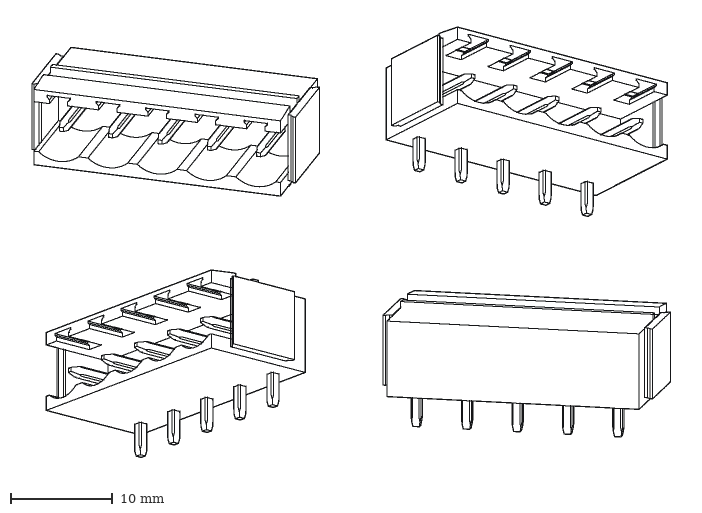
import cadquery as cq

OVERALL_LENGTH = 27.15
PIN_COUNT = 5
PIN_PITCH = 5.08
HOUSING_LENGTH = PIN_COUNT * PIN_PITCH
HOUSING_DEPTH = 12.0

FLOOR_TOP = 1.47
CEILING = 6.75
BODY_TOP = 7.6
POCKET_DEPTH = 7.88

BAR_DEPTH = 3.12
BAR_TOP = 8.37
BAR_CREST_DEPTH = 0.35
BAR_FRONT_TOP = 8.07

RIB_FRONT = 5.3
RIB_WIDTH = 0.7
RIB_TOP = 8.25
RIB_FOOT_RADIUS = 0.14

TROUGH_WIDTH = 4.1
TROUGH_DEPTH = 0.75

SLOT_DEPTH = 4.18
SLOT_TOP_WIDTH = 2.4
SLOT_NECK_WIDTH = 1.87
SLOT_LIP_HEIGHT = 0.15

PLATE_BOTTOM = 0.65
PLATE_TOP = 7.69
PLATE_FRONT = 2.12
PLATE_BACK = 9.89
PLATE_FLARE = 0.35
PLATE_EDGE = 0.25
PLATE_THICKNESS = (OVERALL_LENGTH - HOUSING_LENGTH) / 2

PIN_SIZE = 1.0
PIN_CHAMFER = 0.15
PIN_AXIS_Y = 9.97
PIN_AXIS_Z = 3.75
TAIL_END = -3.25
TAIL_TAPER = 0.95
TAIL_TIP_SIZE = 0.65
CONTACT_END = 0.9
CONTACT_TAPER = 1.28
CONTACT_TIP_SIZE = 0.4

pin_positions = [(i - (PIN_COUNT - 1) / 2) * PIN_PITCH for i in range(PIN_COUNT)]


def make_shell():
    """C-shaped cross-section with the top bar and rib, extruded over the housing length."""
    rib_back = RIB_FRONT + RIB_WIDTH
    body = (
        cq.Workplane("YZ", origin=(-HOUSING_LENGTH / 2, 0, 0))
        .moveTo(0, 0)
        .lineTo(HOUSING_DEPTH, 0)
        .lineTo(HOUSING_DEPTH, BODY_TOP)
        .lineTo(rib_back + RIB_FOOT_RADIUS, BODY_TOP)
        .radiusArc((rib_back, BODY_TOP + RIB_FOOT_RADIUS), RIB_FOOT_RADIUS)
        .lineTo(rib_back, RIB_TOP)
        .lineTo(RIB_FRONT, RIB_TOP)
        .lineTo(RIB_FRONT, BODY_TOP + RIB_FOOT_RADIUS)
        .radiusArc((RIB_FRONT - RIB_FOOT_RADIUS, BODY_TOP), RIB_FOOT_RADIUS)
        .lineTo(BAR_DEPTH, BODY_TOP)
        .lineTo(BAR_DEPTH, BAR_TOP)
        .lineTo(BAR_DEPTH - BAR_CREST_DEPTH, BAR_TOP)
        .lineTo(0, BAR_FRONT_TOP)
        .lineTo(0, CEILING)
        .lineTo(POCKET_DEPTH, CEILING)
        .lineTo(POCKET_DEPTH, FLOOR_TOP)
        .lineTo(0, FLOOR_TOP)
        .close()
    )
    return body.extrude(HOUSING_LENGTH)


def make_end_plate():
    """Plate on the -X end, with its front and back edges flared outward."""
    inner_x = -HOUSING_LENGTH / 2
    outer_x = inner_x - PLATE_THICKNESS
    edge_x = outer_x + PLATE_EDGE
    neck_x = edge_x + PLATE_FLARE
    return (
        cq.Workplane("XY", origin=(0, 0, PLATE_BOTTOM))
        .moveTo(inner_x, PLATE_FRONT + PLATE_FLARE)
        .lineTo(neck_x, PLATE_FRONT + PLATE_FLARE)
        .lineTo(edge_x, PLATE_FRONT)
        .lineTo(outer_x, PLATE_FRONT)
        .lineTo(outer_x, PLATE_BACK)
        .lineTo(edge_x, PLATE_BACK)
        .lineTo(neck_x, PLATE_BACK - PLATE_FLARE)
        .lineTo(inner_x, PLATE_BACK - PLATE_FLARE)
        .close()
        .extrude(PLATE_TOP - PLATE_BOTTOM)
    )


def make_trough(x):
    """Round-bottomed trough running from the mating face to the back of the pocket."""
    return (
        cq.Workplane("XZ")
        .moveTo(x - TROUGH_WIDTH / 2, FLOOR_TOP)
        .threePointArc((x, FLOOR_TOP - TROUGH_DEPTH), (x + TROUGH_WIDTH / 2, FLOOR_TOP))
        .close()
        .extrude(-POCKET_DEPTH)
    )


def make_slot(x):
    """Dovetail slot through the top wall, passing under the bar."""
    top = SLOT_TOP_WIDTH / 2
    neck = SLOT_NECK_WIDTH / 2
    lip_z = BODY_TOP - SLOT_LIP_HEIGHT
    neck_z = lip_z - (top - neck)
    right_side = [(neck, CEILING), (neck, neck_z), (top, lip_z), (top, BODY_TOP)]
    left_side = [(-dx, z) for dx, z in reversed(right_side)]
    outline = [(x + dx, z) for dx, z in right_side + left_side]
    return cq.Workplane("XZ").polyline(outline).close().extrude(-SLOT_DEPTH)


def make_leg(length, taper_length, tip_size):
    """Square bar along +Z with chamfered corners and a pyramid-shaped tip."""
    chamfered = (
        cq.Workplane("XY").rect(PIN_SIZE, PIN_SIZE).extrude(length).edges("|Z").chamfer(PIN_CHAMFER)
    )
    shank = cq.Workplane("XY").rect(PIN_SIZE, PIN_SIZE).extrude(length - taper_length)
    tip = (
        cq.Workplane("XY", origin=(0, 0, length - taper_length))
        .rect(PIN_SIZE, PIN_SIZE)
        .workplane(offset=taper_length)
        .rect(tip_size, tip_size)
        .loft(combine=True)
    )
    return chamfered.intersect(shank.union(tip))


def make_pin(x):
    """L-shaped pin: a contact leg toward -Y and a solder tail toward -Z, joined at a square elbow."""
    elbow = cq.Workplane("XY").box(PIN_SIZE, PIN_SIZE, PIN_SIZE)
    contact = make_leg(PIN_AXIS_Y - CONTACT_END, CONTACT_TAPER, CONTACT_TIP_SIZE)
    tail = make_leg(PIN_AXIS_Z - TAIL_END, TAIL_TAPER, TAIL_TIP_SIZE)
    contact = contact.rotate((0, 0, 0), (1, 0, 0), 90)
    tail = tail.rotate((0, 0, 0), (1, 0, 0), 180)
    return elbow.union(contact).union(tail).translate((x, PIN_AXIS_Y, PIN_AXIS_Z))


def make_housing(pins):
    """Housing with end plates, cut by the troughs and slots and recessed to fit the pins."""
    plate = make_end_plate()
    housing = make_shell().union(plate).union(plate.mirror("YZ"))
    for x in pin_positions:
        housing = housing.cut(make_trough(x)).cut(make_slot(x))
    for pin in pins:
        housing = housing.cut(pin)
    return housing


pins = [make_pin(x) for x in pin_positions]
housing = make_housing(pins)

result = cq.Compound.makeCompound([housing.val(), *[pin.val() for pin in pins]])